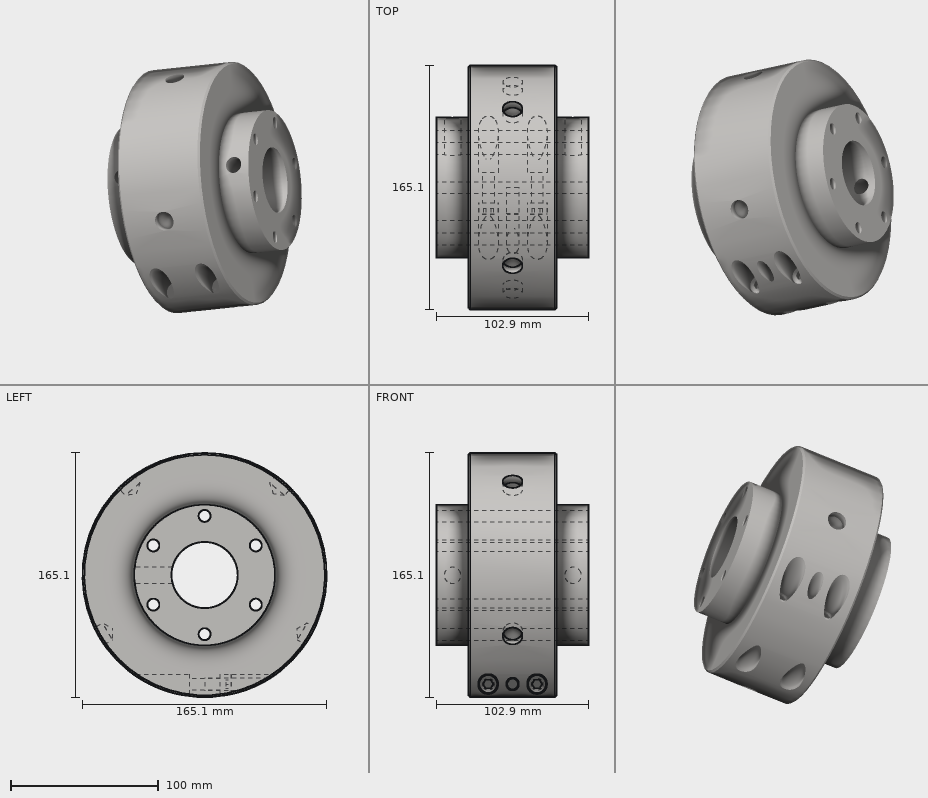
import cadquery as cq
import math

flange_diameter = 165.1
flange_width = 60.0
flange_chamfer = 1.3
hub_diameter = 95.1
hub_length = 102.9
bore_diameter = 44.5

axial_hole_count = 6
axial_hole_diameter = 8.0
axial_hole_circle_diameter = 79.9

radial_hole_diameter = 11.0

rim_hole_angles = (-30, 50, 130, 210)
rim_hole_diameter = 13.2
rim_hole_depth = 6.6
drill_point_angle = 118.0
rim_hole_overrun = 1.7

fastener_z = -73.6
fastener_face_y = -18.2
screw_spacing = 33.0
screw_head_diameter = 13.0
screw_head_height = 8.0
screw_head_chamfer = 0.5
screw_shank_diameter = 8.0
socket_across_flats = 6.0
socket_depth = 4.0
counterbore_diameter = 13.5
pin_diameter = 8.6
pin_chamfer = 0.7

flange_radius = flange_diameter / 2
hub_radius = hub_diameter / 2
radial_hole_x = (hub_length + flange_width) / 4
screw_positions = (-screw_spacing / 2, screw_spacing / 2)
screw_seat_y = fastener_face_y + screw_head_height
screw_end_y = -screw_seat_y
pin_end_y = 0.0


def cylinder(diameter, start, end):
    """Solid cylinder between the centres of its two end faces."""
    base = cq.Vector(*start)
    axis = cq.Vector(*end) - base
    return cq.Workplane(cq.Solid.makeCylinder(diameter / 2, axis.Length, base, axis))


def axial_cylinder(diameter, length, y=0.0, z=0.0):
    """Cylinder parallel to X, centred on x = 0."""
    return cylinder(diameter, (-length / 2, y, z), (length / 2, y, z))


def fastener_cylinder(diameter, x, start_y, end_y):
    """Cylinder parallel to Y in the row of screws and pin."""
    return cylinder(diameter, (x, start_y, fastener_z), (x, end_y, fastener_z))


def axial_hole(index):
    angle = 2 * math.pi * index / axial_hole_count
    circle_radius = axial_hole_circle_diameter / 2
    y = circle_radius * math.sin(angle)
    z = circle_radius * math.cos(angle)
    return axial_cylinder(axial_hole_diameter, hub_length, y, z)


def rim_hole(angle):
    """Cutter for a radial hole with a conical drill point, turned about X to its angle."""
    radius = rim_hole_diameter / 2
    floor = flange_radius - rim_hole_depth
    tip = floor - radius / math.tan(math.radians(drill_point_angle / 2))
    top = flange_radius + rim_hole_overrun
    profile = cq.Workplane("XY").polyline([(0, tip), (radius, floor), (radius, top), (0, top)]).close()
    cutter = profile.revolve(360, (0, 0, 0), (0, 1, 0))
    return cutter.rotate((0, 0, 0), (1, 0, 0), angle)


def screw_hole(x):
    """Shank hole across the flange, counterbored from both sides."""
    shank_hole = fastener_cylinder(screw_shank_diameter, x, screw_seat_y, screw_end_y)
    head_bore = fastener_cylinder(counterbore_diameter, x, -flange_radius, screw_seat_y)
    far_bore = fastener_cylinder(counterbore_diameter, x, screw_end_y, flange_radius)
    return shank_hole.union(head_bore).union(far_bore)


def make_hub():
    hub = axial_cylinder(flange_diameter, flange_width).edges().chamfer(flange_chamfer)
    hub = hub.union(axial_cylinder(hub_diameter, hub_length))
    hub = hub.cut(axial_cylinder(bore_diameter, hub_length))
    for index in range(axial_hole_count):
        hub = hub.cut(axial_hole(index))
    for x in (-radial_hole_x, radial_hole_x):
        hub = hub.cut(cylinder(radial_hole_diameter, (x, 0, 0), (x, hub_radius, 0)))
    for angle in rim_hole_angles:
        hub = hub.cut(rim_hole(angle))
    for x in screw_positions:
        hub = hub.cut(screw_hole(x))
    return hub.cut(fastener_cylinder(pin_diameter, 0, -flange_radius, pin_end_y))


def make_screw(x):
    """Socket head screw with its head toward -Y."""
    head = fastener_cylinder(screw_head_diameter, x, fastener_face_y, screw_seat_y)
    head = head.faces("<Y").edges().chamfer(screw_head_chamfer)
    shank = fastener_cylinder(screw_shank_diameter, x, screw_seat_y, screw_end_y)
    socket_across_corners = socket_across_flats / math.cos(math.pi / 6)
    socket_plane = cq.Workplane("XZ", origin=(x, fastener_face_y, fastener_z))
    socket = socket_plane.polygon(6, socket_across_corners).extrude(-socket_depth)
    return head.union(shank).cut(socket)


def make_pin():
    """Plain pin filling its blind hole up to the level of the screw heads."""
    pin = fastener_cylinder(pin_diameter, 0, fastener_face_y, pin_end_y)
    return pin.faces("<Y").edges().chamfer(pin_chamfer)


hub = make_hub().solids().val()
screws = [make_screw(x).solids().val() for x in screw_positions]
pin = make_pin().solids().val()

result = cq.Compound.makeCompound([hub, *screws, pin])